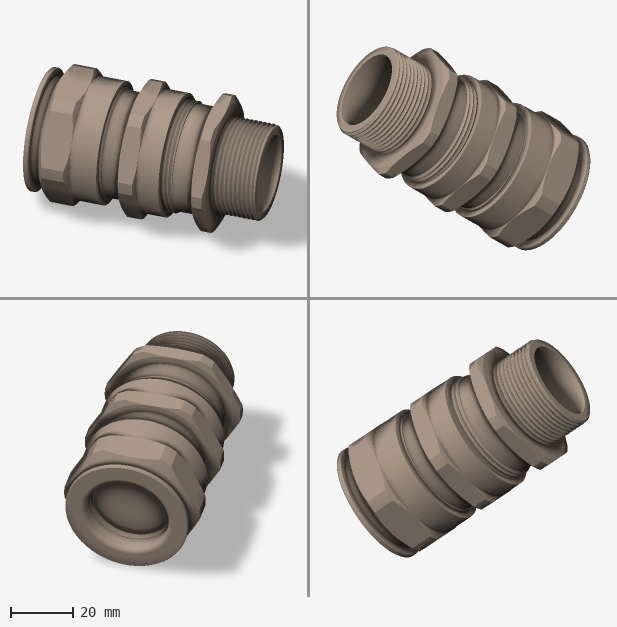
import cadquery as cq


TOTAL_LENGTH = 76.8
HEX_SIDES = 6
HEX_FLATS = 41.0
HEX_CORNERS = 45.1
COLLAR_DIA = 40.8
NECK_DIA = 35.3
ENTRY_NECK_DIA = 35.4

FLANGE_END = 1.7
NUT_START = 4.0
FERRULE_END = 5.7
RING_END = 7.9
DIAPHRAGM_START = 9.2
MIDDLE_START = 12.3
NUT_HEX_END = 15.7
NUT_END = 24.8
MIDDLE_THREAD_END = 25.7
MIDDLE_HEX_START = 32.1
MIDDLE_HEX_END = 38.3
MIDDLE_END = 45.8
ENTRY_THREAD_END = 49.6
ENTRY_HEX_START = 56.9
ENTRY_HEX_END = 61.8

END_THREAD_TURNS = 10
PITCH = (TOTAL_LENGTH - ENTRY_HEX_END) / END_THREAD_TURNS
TOOTH_GAP = 0.1
TOOTH_BASE = PITCH - TOOTH_GAP
ROOT_OVERLAP = 0.15
SIDE_THREAD_DIA = 37.0
END_THREAD_DIA = 31.8
END_THREAD_CORE = 30.3
END_CHAMFER = 0.85
SOCKET_CLEARANCE = 0.15
SOCKET_DIA = SIDE_THREAD_DIA + SOCKET_CLEARANCE

FERRULE_BORE = 27.5
MOUTH_RADIUS = 1.6
RING_BORE = 27.0
FLANGE_CHAMFER = 0.2
DISC_BASE_DIA = 27.5
DISC_FACE_DIA = 24.65
DISC_HEIGHT = 0.4
PASSAGE_DIA = 25.3

NUT_FRONT_CHAMFER = 2.9
NUT_BACK_CHAMFER = 1.3
HEX_CHAMFER = 0.8


def cylinder(start, end, diameter):
    return cq.Workplane("YZ").workplane(offset=start).circle(diameter / 2).extrude(end - start)


def turned(points):
    """Revolve a closed (x, radius) outline about the X axis."""
    return cq.Workplane("XY").polyline(points).close().revolve(360, (0, 0, 0), (1, 0, 0))


def hexagon(start, end, front_chamfer, front_dia, back_chamfer, back_dia):
    """Hexagon with flats facing +Z and -Z, turned to blunt corners and conical ends."""
    prism = (
        cq.Workplane("YZ")
        .workplane(offset=start)
        .polygon(HEX_SIDES, HEX_FLATS, circumscribed=True)
        .extrude(end - start)
        .rotate((0, 0, 0), (1, 0, 0), 90)
    )
    envelope = turned([
        (start, 0),
        (start, front_dia / 2),
        (start + front_chamfer, HEX_CORNERS / 2),
        (end - back_chamfer, HEX_CORNERS / 2),
        (end, back_dia / 2),
        (end, 0),
    ])
    return prism.intersect(envelope)


def thread(start, end, core_dia, crest_dia, end_chamfer=0):
    """Right-hand helical tooth around the X axis, its foot sunk into the core.

    The helix runs one pitch past the end and is then cut off square there, or with a chamfer.
    """
    foot = core_dia / 2 - ROOT_OVERLAP
    helix = cq.Wire.makeHelix(PITCH, end + PITCH - start, foot)
    tooth = (
        cq.Workplane("XZ")
        .polyline([
            (foot, -TOOTH_BASE / 2),
            (crest_dia / 2, 0),
            (foot, TOOTH_BASE / 2),
        ])
        .close()
        .sweep(cq.Workplane(obj=helix), isFrenet=True)
        .rotate((0, 0, 0), (0, 1, 0), 90)
        .translate((start, 0, 0))
    )
    envelope = cylinder(start - PITCH, end, crest_dia + 2 * ROOT_OVERLAP)
    if end_chamfer:
        envelope = envelope.faces(">X").chamfer(end_chamfer)
    return tooth.intersect(envelope)


def make_ferrule():
    """Flanged sleeve at the cable end, with a rounded mouth."""
    flange = cylinder(0, FLANGE_END, COLLAR_DIA).edges().chamfer(FLANGE_CHAMFER)
    body = flange.union(cylinder(0, FERRULE_END, NECK_DIA))
    body = body.cut(cylinder(0, FERRULE_END, FERRULE_BORE))
    mouth = cq.selectors.RadiusNthSelector(0)
    return body.faces("<X").edges(mouth).fillet(MOUTH_RADIUS)


def make_ring():
    """Plain ring behind the ferrule, inside the nut."""
    return cylinder(FERRULE_END, RING_END, NECK_DIA).cut(cylinder(FERRULE_END, RING_END, RING_BORE))


def make_diaphragm():
    """Closed disc across the bore, with a shallow raised centre."""
    disc_face = DIAPHRAGM_START - DISC_HEIGHT
    return turned([
        (MIDDLE_START, 0),
        (MIDDLE_START, NECK_DIA / 2),
        (DIAPHRAGM_START, NECK_DIA / 2),
        (DIAPHRAGM_START, DISC_BASE_DIA / 2),
        (disc_face, DISC_FACE_DIA / 2),
        (disc_face, 0),
    ])


def make_nut():
    """Hexagon nut with a round collar that screws over the middle body."""
    body = hexagon(NUT_START, NUT_HEX_END, NUT_FRONT_CHAMFER, NECK_DIA, NUT_BACK_CHAMFER, HEX_FLATS)
    body = body.union(cylinder(NUT_HEX_END, NUT_END, COLLAR_DIA))
    body = body.cut(cylinder(NUT_START, NUT_END, NECK_DIA))
    return body.cut(cylinder(MIDDLE_START, NUT_END, SOCKET_DIA))


def make_middle_body():
    """Threaded neck, hexagon, and a collar that takes the entry."""
    body = hexagon(MIDDLE_HEX_START, MIDDLE_HEX_END, HEX_CHAMFER, HEX_FLATS, HEX_CHAMFER, HEX_FLATS)
    body = body.union(cylinder(MIDDLE_START, MIDDLE_HEX_START, NECK_DIA))
    body = body.union(cylinder(MIDDLE_HEX_END, MIDDLE_END, COLLAR_DIA))
    body = body.cut(cylinder(MIDDLE_HEX_END, MIDDLE_END, SOCKET_DIA))
    body = body.union(thread(MIDDLE_START + PITCH, MIDDLE_THREAD_END, NECK_DIA, SIDE_THREAD_DIA))
    return body.cut(cylinder(MIDDLE_START, MIDDLE_HEX_END, PASSAGE_DIA))


def make_entry():
    """Threaded neck, hexagon, and the long thread at the far end."""
    body = hexagon(ENTRY_HEX_START, ENTRY_HEX_END, HEX_CHAMFER, HEX_FLATS, HEX_CHAMFER, HEX_FLATS)
    body = body.union(cylinder(MIDDLE_HEX_END, ENTRY_HEX_START, ENTRY_NECK_DIA))
    body = body.union(thread(MIDDLE_HEX_END + PITCH, ENTRY_THREAD_END, ENTRY_NECK_DIA, SIDE_THREAD_DIA))
    body = body.union(cylinder(ENTRY_HEX_END, TOTAL_LENGTH, END_THREAD_CORE))
    body = body.union(
        thread(ENTRY_HEX_END - PITCH / 2, TOTAL_LENGTH, END_THREAD_CORE, END_THREAD_DIA, END_CHAMFER))
    return body.cut(cylinder(MIDDLE_HEX_END, TOTAL_LENGTH, PASSAGE_DIA))


ferrule = make_ferrule()
ring = make_ring()
diaphragm = make_diaphragm()
nut = make_nut()
middle_body = make_middle_body()
entry = make_entry()

result = cq.Compound.makeCompound([
    ferrule.val(),
    ring.val(),
    diaphragm.val(),
    nut.val(),
    middle_body.val(),
    entry.val(),
])